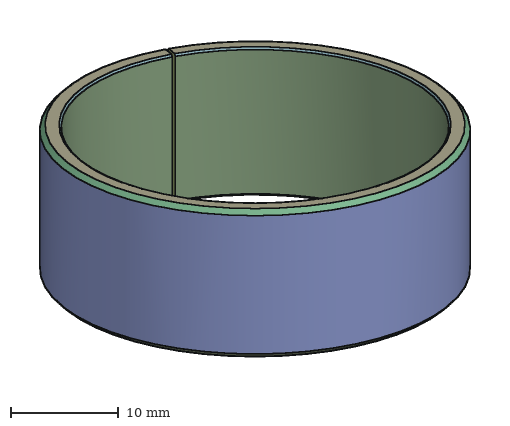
import cadquery as cq

outer_diameter = 40.0
wall_thickness = 2.0
length = 15.0

outer_chamfer = 0.5
bore_chamfer = 0.2

gap_angle = 1.0
full_turn = 360.0

outer_radius = outer_diameter / 2
bore_radius = outer_radius - wall_thickness


def wall_section():
    """Chamfered wall section in the XZ plane, on the -X side of the axis."""
    return (
        cq.Workplane("XZ")
        .moveTo(-bore_radius - bore_chamfer, 0)
        .lineTo(-outer_radius + outer_chamfer, 0)
        .lineTo(-outer_radius, outer_chamfer)
        .lineTo(-outer_radius, length - outer_chamfer)
        .lineTo(-outer_radius + outer_chamfer, length)
        .lineTo(-bore_radius - bore_chamfer, length)
        .lineTo(-bore_radius, length - bore_chamfer)
        .lineTo(-bore_radius, bore_chamfer)
        .close()
    )


result = wall_section().revolve(full_turn - gap_angle, (0, 0, 0), (0, 1, 0))